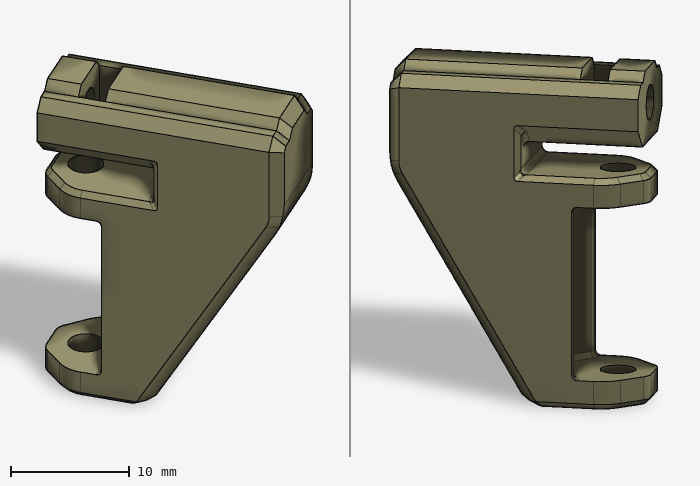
import cadquery as cq
import math

LENGTH = 22.0
HEIGHT = 28.93
HALF_WIDTH = 4.75
BACK_CHAMFER = 1.0
EDGE_CHAMFER = 0.5
BLEND_RADIUS = 0.5
HOLE_DIAMETER = 3.0
OVERSHOOT = 1.45
NEAR = 0.03

BAR_START = 0.35
BAR_BOTTOM = 22.6
BAR_BOTTOM_HALF_WIDTH = 3.0
BAR_SIDE_BOTTOM = BAR_BOTTOM + HALF_WIDTH - BAR_BOTTOM_HALF_WIDTH
RIDGE_HALF_WIDTH = 1.97
RIDGE_HEIGHT = 0.8
SHOULDER_CHAMFER = 1.0
SHOULDER_Z = HEIGHT - RIDGE_HEIGHT
RIDGE_FOOT_HALF_WIDTH = RIDGE_HALF_WIDTH + RIDGE_HEIGHT
BAR_HOLE_Z = 25.78

NUT_SLOT_START = 3.35
NUT_SLOT_LENGTH = 2.4

ARM_THICKNESS = 2.5
ARM_GAP = 15.01
UPPER_ARM_BOTTOM = ARM_THICKNESS + ARM_GAP
UPPER_ARM_TOP = UPPER_ARM_BOTTOM + ARM_THICKNESS
HINGE_X = 3.1
TIP_CORNER_Y = 1.8
TIP_RADIUS = 1.5
SIDE_RADIUS = 3.0

POCKET_END = 6.08
CLEARANCE_RADIUS = 5.0
SLOT_END = 10.55

BACK_CORNER_Z = 19.9
BACK_FOOT_X = 10.07
BACK_CORNER_RADIUS = 6.0
BACK_MITRE_RADIUS = 3.0


def make_blank():
    """Side outline with the sloping back, trimmed to the section with the ridged top."""
    side = (
        cq.Workplane("XZ")
        .polyline([(0, 0), (BACK_FOOT_X, 0), (LENGTH, BACK_CORNER_Z), (LENGTH, HEIGHT), (0, HEIGHT)])
        .close()
        .extrude(HALF_WIDTH, both=True)
    )
    half = [
        (HALF_WIDTH, 0),
        (HALF_WIDTH, SHOULDER_Z - SHOULDER_CHAMFER),
        (HALF_WIDTH - SHOULDER_CHAMFER, SHOULDER_Z),
        (RIDGE_FOOT_HALF_WIDTH, SHOULDER_Z),
        (RIDGE_HALF_WIDTH, HEIGHT),
    ]
    section = half + [(-y, z) for y, z in reversed(half)]
    return side.intersect(cq.Workplane("YZ").polyline(section).close().extrude(LENGTH))


def chamfer_back(body):
    """Bevel the border of the upright and sloping back faces, then round the corner between them."""
    slope = math.atan2(LENGTH - BACK_FOOT_X, BACK_CORNER_Z)
    slope_normal = cq.Vector(math.cos(slope), 0, -math.sin(slope))
    upright_edges = body.faces(">X").edges("not <Z").vals()
    slope_face = cq.selectors.DirectionMinMaxSelector(slope_normal, True)
    sloping_edges = body.faces(slope_face).edges("not >Z").vals()
    body = body.newObject(upright_edges + sloping_edges).chamfer(BACK_CHAMFER)

    corner = body.edges(cq.selectors.NearestToPointSelector((LENGTH, 0, BACK_CORNER_Z)))
    body = corner.fillet(BACK_CORNER_RADIUS)
    mitre_top_z = BACK_CORNER_Z + BACK_CHAMFER * math.tan(slope / 2)
    mitre_box = cq.selectors.BoxSelector(
        (LENGTH - BACK_CHAMFER, -HALF_WIDTH, BACK_CORNER_Z),
        (LENGTH, HALF_WIDTH, mitre_top_z),
    )
    return body.edges(mitre_box).edges("not |Y").fillet(BACK_MITRE_RADIUS)


def arm_outline():
    """Plan of the arms as a solid: 45 degree corners blended into the tip and the sides."""
    side_corner_x = HALF_WIDTH - TIP_CORNER_Y
    points = [
        (0, -TIP_CORNER_Y),
        (side_corner_x, -HALF_WIDTH),
        (LENGTH, -HALF_WIDTH),
        (LENGTH, HALF_WIDTH),
        (side_corner_x, HALF_WIDTH),
        (0, TIP_CORNER_Y),
    ]
    outline = cq.Workplane("XY").polyline(points).close().extrude(UPPER_ARM_TOP)
    outline = outline.edges("|Z and <X").fillet(TIP_RADIUS)
    side_corners = cq.selectors.BoxSelector(
        (side_corner_x - NEAR, -HALF_WIDTH - NEAR, 0),
        (side_corner_x + NEAR, HALF_WIDTH + NEAR, UPPER_ARM_TOP),
    )
    return outline.edges("|Z").edges(side_corners).fillet(SIDE_RADIUS)


def shape_arms(body):
    """Trim the front of the body below the bar to the arm outline."""
    lower_front = cq.Workplane("XY").box(
        SLOT_END, 2 * HALF_WIDTH, UPPER_ARM_TOP, centered=(False, True, False)
    )
    return body.cut(lower_front.cut(arm_outline()))


def cut_bar_slot(body):
    """Open the space under the bar, bevel its side edges and blend its inner end."""
    reach = HALF_WIDTH + OVERSHOOT
    half = [
        (reach, UPPER_ARM_TOP),
        (reach, BAR_SIDE_BOTTOM + OVERSHOOT),
        (BAR_BOTTOM_HALF_WIDTH, BAR_BOTTOM),
    ]
    section = half + [(-y, z) for y, z in reversed(half)]
    slot = (
        cq.Workplane("YZ", origin=(-OVERSHOOT, 0, 0))
        .polyline(section)
        .close()
        .extrude(SLOT_END + OVERSHOOT)
    )
    body = body.cut(slot)

    end_faces = cq.selectors.BoxSelector(
        (SLOT_END - NEAR, -HALF_WIDTH, UPPER_ARM_TOP), (SLOT_END + NEAR, HALF_WIDTH, BAR_SIDE_BOTTOM)
    )
    arm_top = cq.selectors.BoxSelector(
        (0, -HALF_WIDTH, UPPER_ARM_TOP - NEAR), (SLOT_END, HALF_WIDTH, UPPER_ARM_TOP + NEAR)
    )
    arm_border = body.faces(arm_top).edges("not >X").vals()
    end_sides = body.faces(end_faces).edges("|Z").vals()
    body = body.newObject(arm_border + end_sides).chamfer(EDGE_CHAMFER)

    inner = body.faces(end_faces).edges("not |Z").vals()
    mitre_box = cq.selectors.BoxSelector(
        (SLOT_END + NEAR, -HALF_WIDTH, UPPER_ARM_TOP - EDGE_CHAMFER),
        (SLOT_END + EDGE_CHAMFER, HALF_WIDTH, BAR_SIDE_BOTTOM),
    )
    mitres = body.edges(mitre_box).vals()
    return body.newObject(inner + mitres).fillet(BLEND_RADIUS)


def bevel_bottom(body):
    """Bevel the bottom border, except where the back bevel already meets it."""
    return body.faces("<Z").edges("not >X").chamfer(EDGE_CHAMFER)


def cut_arm_gap(body):
    """Gap between the arms with a round clearance about the hinge axis, blended all around."""
    box = cq.Workplane("XY", origin=(-OVERSHOOT, 0, ARM_THICKNESS)).box(
        POCKET_END + OVERSHOOT, 2 * (HALF_WIDTH + OVERSHOOT), ARM_GAP, centered=(False, True, False)
    )
    hinge_plane = cq.Workplane("XY", origin=(HINGE_X, 0, ARM_THICKNESS))
    clearance = hinge_plane.circle(CLEARANCE_RADIUS).extrude(ARM_GAP)
    gap = box.union(clearance)
    lips = cq.selectors.BoxSelector(
        (POCKET_END - NEAR, -HALF_WIDTH, 0), (POCKET_END + NEAR, HALF_WIDTH, HEIGHT)
    )
    gap = gap.edges("|Z").edges(lips).fillet(BLEND_RADIUS)
    return body.cut(gap.faces("<Z or >Z").edges().fillet(BLEND_RADIUS))


def cut_holes(body):
    """Hinge hole through both arms, screw hole along the bar and the nut slot across it."""
    hinge = cq.Workplane("XY", origin=(HINGE_X, 0, 0)).circle(HOLE_DIAMETER / 2).extrude(UPPER_ARM_TOP)
    screw = cq.Workplane("YZ", origin=(0, 0, BAR_HOLE_Z)).circle(HOLE_DIAMETER / 2).extrude(SLOT_END)
    nut_slot = cq.Workplane("XY", origin=(NUT_SLOT_START, 0, BAR_BOTTOM)).box(
        NUT_SLOT_LENGTH, 2 * RIDGE_FOOT_HALF_WIDTH, HEIGHT - BAR_BOTTOM, centered=(False, True, False)
    )
    return body.cut(hinge).cut(screw).cut(nut_slot)


def trim_bar_front(body):
    """Set the front of the bar back from the arm tips."""
    front = cq.Workplane("XY", origin=(0, 0, BAR_BOTTOM)).box(
        BAR_START, 2 * HALF_WIDTH, HEIGHT - BAR_BOTTOM, centered=(False, True, False)
    )
    return body.cut(front)


bracket = chamfer_back(make_blank())
for feature in (shape_arms, cut_bar_slot, bevel_bottom, cut_arm_gap, trim_bar_front, cut_holes):
    bracket = feature(bracket)

result = bracket.solids()